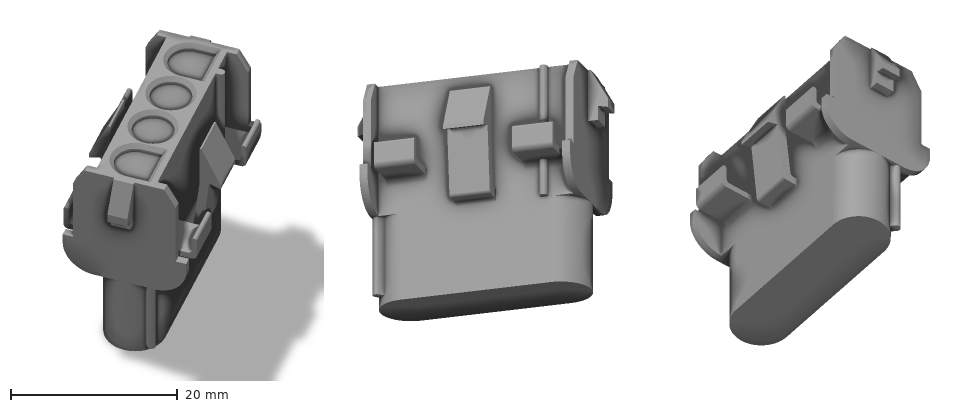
import cadquery as cq
import math

TOTAL_LENGTH = 31.75
TOTAL_WIDTH = 17.02
TOTAL_HEIGHT = 27.53

BODY_LENGTH = 26.7
BODY_WIDTH = 7.7
BODY_HALF_WIDTH = BODY_WIDTH / 2
BODY_HALF_LENGTH = BODY_LENGTH / 2
PLUG_HEIGHT = 11.02

PLATE_THICKNESS = 1.02
PLATE_TOP_HALF_WIDTH = 5.08
PLATE_NECK_HALF_WIDTH = 6.55
PLATE_FOOT_HALF_WIDTH = 7.87
PLATE_CHAMFER_Z = 25.02
PLATE_SHELF_Z = 16.35
PLATE_CORNER_RADIUS = PLATE_FOOT_HALF_WIDTH - BODY_HALF_WIDTH

HOOK_WIDTH = 2.55
HOOK_LIP = 0.32
HOOK_STEM = 1.3
HOOK_BOTTOM_Z = 21.02
HOOK_NOTCH_Z = 22.8
HOOK_TIP_BOTTOM_Z = 22.55
HOOK_TIP_TOP_Z = 23.72

CAVITY_COUNT = 4
CAVITY_PITCH = 6.35
CAVITY_RADIUS = 2.57
CAVITY_DEPTH = 1.02
CAVITY_CHAMFER = 0.5

RIB_WIDTH = 1.0
RIB_REACH = 5.08
RIB_BOTTOM_Z = 1.1
RIB_ANGLE = -45.0
KEY_REACH = 4.85

ARM_WIDTH = 5.1
CLIP_SPACING = 8.75
ARM_EMBED = 0.65

CLIP_TIP_X = TOTAL_WIDTH / 2
CLIP_WALL = 0.67
CLIP_FLOOR_Z = 16.32
CLIP_FLOOR = 0.83
CLIP_TOP_Z = 18.83
CLIP_INNER_RADIUS = 0.55
CLIP_OUTER_RADIUS = 0.67
CLIP_TOP_ROOT_RADIUS = 0.3
CLIP_BOTTOM_ROOT_RADIUS = 0.75

LATCH_FLOOR_Z = 12.57
LATCH_FLOOR = 1.05
LATCH_FOOT_X = 6.05
LATCH_INNER_FOOT_X = 4.92
LATCH_STEM_X = 5.68
LATCH_BEND_Z = 19.37
LATCH_NOTCH_X = 6.92
LATCH_NOTCH_Z = 19.88
LATCH_BARB_X = 8.4
LATCH_BARB_BOTTOM_Z = 19.4
LATCH_BARB_TOP_Z = 19.97
LATCH_CREST_Z = 25.02
LATCH_CREST_WIDTH = 0.32
LATCH_INNER_RADIUS = 0.45
LATCH_BOTTOM_ROOT_RADIUS = 0.38
LATCH_FOOT_RADIUS = 0.38


def housing():
    """Plug with rounded ends below, square-ended block above."""
    plug = cq.Workplane("XY").slot2D(BODY_LENGTH, BODY_WIDTH, 90).extrude(PLUG_HEIGHT)
    block = (
        cq.Workplane("XY", origin=(0, 0, PLUG_HEIGHT))
        .rect(BODY_WIDTH, BODY_LENGTH)
        .extrude(TOTAL_HEIGHT - PLUG_HEIGHT)
    )
    return plug.union(block)


def end_plate():
    """Chamfered, shouldered plate on the -Y end of the upper block."""
    arc_inset = PLATE_CORNER_RADIUS * (1 - math.sqrt(0.5))
    arc_top_z = PLUG_HEIGHT + PLATE_CORNER_RADIUS
    half_outline = (
        cq.Workplane("XZ", origin=(0, -BODY_HALF_LENGTH, 0))
        .moveTo(0, PLUG_HEIGHT)
        .lineTo(BODY_HALF_WIDTH, PLUG_HEIGHT)
        .threePointArc(
            (PLATE_FOOT_HALF_WIDTH - arc_inset, PLUG_HEIGHT + arc_inset),
            (PLATE_FOOT_HALF_WIDTH, arc_top_z),
        )
        .lineTo(PLATE_FOOT_HALF_WIDTH, PLATE_SHELF_Z)
        .lineTo(PLATE_NECK_HALF_WIDTH, PLATE_SHELF_Z)
        .lineTo(PLATE_NECK_HALF_WIDTH, PLATE_CHAMFER_Z)
        .lineTo(PLATE_TOP_HALF_WIDTH, TOTAL_HEIGHT)
        .lineTo(0, TOTAL_HEIGHT)
    )
    return half_outline.mirrorY().extrude(-PLATE_THICKNESS)


def end_hook():
    """Barbed hook on the outside of the -Y end plate."""
    face = -BODY_HALF_LENGTH
    tip = -TOTAL_LENGTH / 2
    root = face + PLATE_THICKNESS
    outline = [
        (root, HOOK_BOTTOM_Z),
        (face - HOOK_STEM, HOOK_BOTTOM_Z),
        (face - HOOK_STEM, HOOK_NOTCH_Z),
        (tip, HOOK_TIP_BOTTOM_Z),
        (tip, HOOK_TIP_TOP_Z),
        (face - HOOK_LIP, TOTAL_HEIGHT),
        (root, TOTAL_HEIGHT),
    ]
    return cq.Workplane("YZ").polyline(outline).close().extrude(HOOK_WIDTH / 2, both=True)


def round_tipped_rib(reach, height):
    """Upright rib along +X from the origin, its tip a half cylinder."""
    straight = reach - RIB_WIDTH / 2
    bar = cq.Workplane("XY").box(straight, RIB_WIDTH, height, centered=(False, True, False))
    tip = cq.Workplane("XY").center(straight, 0).circle(RIB_WIDTH / 2).extrude(height)
    return bar.union(tip)


def plug_rib():
    """Rib standing diagonally on the -Y rounded end of the plug."""
    end_axis_y = -(BODY_HALF_LENGTH - BODY_HALF_WIDTH)
    return (
        round_tipped_rib(RIB_REACH, PLUG_HEIGHT - RIB_BOTTOM_Z)
        .rotate((0, 0, 0), (0, 0, 1), RIB_ANGLE)
        .translate((0, end_axis_y, RIB_BOTTOM_Z))
    )


def block_rib():
    """Rib on the +X face of the upper block."""
    rib = round_tipped_rib(KEY_REACH, TOTAL_HEIGHT - PLUG_HEIGHT)
    return rib.translate((0, CLIP_SPACING, PLUG_HEIGHT))


def round_corner(solid, x, z, radius):
    """Fillet the edge along Y that passes through (x, z)."""
    return solid.edges(cq.selectors.NearestToPointSelector((x, 0, z))).fillet(radius)


def side_clip():
    """J-shaped clip on the +X side."""
    bottom_z = CLIP_FLOOR_Z - CLIP_FLOOR
    inner_x = CLIP_TIP_X - CLIP_WALL
    embed_x = BODY_HALF_WIDTH - ARM_EMBED
    tip_radius = CLIP_WALL / 2
    tip_axis_z = CLIP_TOP_Z - tip_radius
    clip = (
        cq.Workplane("XZ")
        .moveTo(embed_x, PLUG_HEIGHT)
        .lineTo(BODY_HALF_WIDTH, PLUG_HEIGHT)
        .lineTo(BODY_HALF_WIDTH, bottom_z)
        .lineTo(CLIP_TIP_X, bottom_z)
        .lineTo(CLIP_TIP_X, tip_axis_z)
        .threePointArc((CLIP_TIP_X - tip_radius, CLIP_TOP_Z), (inner_x, tip_axis_z))
        .lineTo(inner_x, CLIP_FLOOR_Z)
        .lineTo(BODY_HALF_WIDTH, CLIP_FLOOR_Z)
        .lineTo(BODY_HALF_WIDTH, CLIP_TOP_Z)
        .lineTo(embed_x, CLIP_TOP_Z)
        .close()
        .extrude(ARM_WIDTH / 2, both=True)
    )
    clip = round_corner(clip, BODY_HALF_WIDTH, bottom_z, CLIP_BOTTOM_ROOT_RADIUS)
    clip = round_corner(clip, BODY_HALF_WIDTH, CLIP_FLOOR_Z, CLIP_TOP_ROOT_RADIUS)
    clip = round_corner(clip, inner_x, CLIP_FLOOR_Z, CLIP_INNER_RADIUS)
    return round_corner(clip, CLIP_TIP_X, bottom_z, CLIP_OUTER_RADIUS)


def side_latch():
    """Barbed spring latch on the +X side."""
    bottom_z = LATCH_FLOOR_Z - LATCH_FLOOR
    embed_x = BODY_HALF_WIDTH - ARM_EMBED
    crest_radius = LATCH_CREST_WIDTH / 2
    latch = (
        cq.Workplane("XZ")
        .moveTo(embed_x, PLUG_HEIGHT)
        .lineTo(BODY_HALF_WIDTH, PLUG_HEIGHT)
        .lineTo(BODY_HALF_WIDTH, bottom_z)
        .lineTo(LATCH_FOOT_X, bottom_z)
        .lineTo(LATCH_NOTCH_X, LATCH_NOTCH_Z)
        .lineTo(LATCH_BARB_X, LATCH_BARB_BOTTOM_Z)
        .lineTo(LATCH_BARB_X, LATCH_BARB_TOP_Z)
        .lineTo(LATCH_STEM_X + LATCH_CREST_WIDTH, LATCH_CREST_Z)
        .threePointArc(
            (LATCH_STEM_X + crest_radius, LATCH_CREST_Z + crest_radius),
            (LATCH_STEM_X, LATCH_CREST_Z),
        )
        .lineTo(LATCH_STEM_X, LATCH_BEND_Z)
        .lineTo(LATCH_INNER_FOOT_X, LATCH_FLOOR_Z)
        .lineTo(BODY_HALF_WIDTH, LATCH_FLOOR_Z)
        .lineTo(BODY_HALF_WIDTH, LATCH_BEND_Z)
        .lineTo(embed_x, LATCH_BEND_Z)
        .close()
        .extrude(ARM_WIDTH / 2, both=True)
    )
    latch = round_corner(latch, BODY_HALF_WIDTH, bottom_z, LATCH_BOTTOM_ROOT_RADIUS)
    latch = round_corner(latch, BODY_HALF_WIDTH, LATCH_FLOOR_Z, LATCH_INNER_RADIUS)
    latch = round_corner(latch, LATCH_FOOT_X, bottom_z, LATCH_FOOT_RADIUS)
    return round_corner(latch, LATCH_INNER_FOOT_X, LATCH_FLOOR_Z, LATCH_INNER_RADIUS)


def cavity_outline(radius, z, is_d_shaped):
    """Round outline, or one squared off on its +X half."""
    plane = cq.Workplane("XY", origin=(0, 0, z))
    if not is_d_shaped:
        return plane.circle(radius)
    return (
        plane.moveTo(0, radius)
        .threePointArc((-radius, 0), (0, -radius))
        .lineTo(radius, -radius)
        .lineTo(radius, radius)
        .close()
    )


def cavity(is_d_shaped):
    """Blind pocket with a chamfered mouth, cut from the top face."""
    floor_z = TOTAL_HEIGHT - CAVITY_DEPTH
    pocket = cavity_outline(CAVITY_RADIUS, floor_z, is_d_shaped).extrude(CAVITY_DEPTH)
    mouth_radius = CAVITY_RADIUS + CAVITY_CHAMFER
    mouth = cavity_outline(mouth_radius, TOTAL_HEIGHT, is_d_shaped).extrude(-CAVITY_CHAMFER, taper=45)
    return pocket.union(mouth)


result = housing()

for end in (end_plate(), end_hook()):
    result = result.union(end).union(end.mirror("XZ"))

result = result.union(plug_rib()).union(block_rib())

clip = side_clip()
arms = [side_latch()]
arms += [clip.translate((0, offset, 0)) for offset in (-CLIP_SPACING, CLIP_SPACING)]
for arm in arms:
    result = result.union(arm).union(arm.mirror("YZ"))

for index in range(CAVITY_COUNT):
    centre_y = (index - (CAVITY_COUNT - 1) / 2) * CAVITY_PITCH
    is_outermost = index in (0, CAVITY_COUNT - 1)
    result = result.cut(cavity(is_outermost).translate((0, centre_y, 0)))